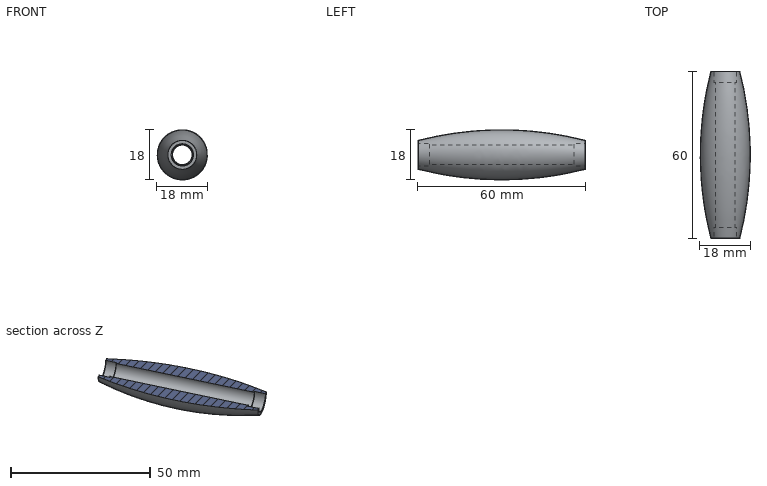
import cadquery as cq

length = 60.0
middle_diameter = 18.0
end_diameter = 10.4

bore_diameter = 7.0
counterbore_diameter = 8.0
counterbore_depth = 4.0

half_length = length / 2


def barrel():
    """Solid of revolution whose side is one arc, widest at mid-length."""
    end_radius = end_diameter / 2
    return (
        cq.Workplane("XY")
        .moveTo(0, -half_length)
        .lineTo(end_radius, -half_length)
        .threePointArc((middle_diameter / 2, 0), (end_radius, half_length))
        .lineTo(0, half_length)
        .close()
        .revolve(360, (0, 0, 0), (0, 1, 0))
    )


def cylinder_along_y(diameter, start, depth):
    """Cylinder on the Y axis, from Y = start towards +Y."""
    return cq.Workplane("XZ", origin=(0, start, 0)).circle(diameter / 2).extrude(-depth)


result = barrel().cut(cylinder_along_y(bore_diameter, -half_length, length))
for counterbore_start in (-half_length, half_length - counterbore_depth):
    result = result.cut(cylinder_along_y(counterbore_diameter, counterbore_start, counterbore_depth))